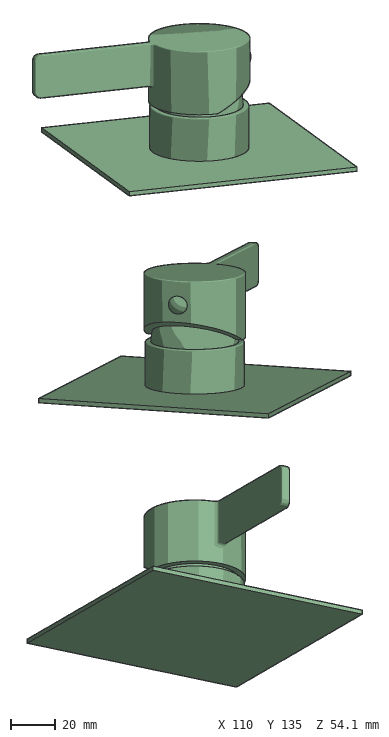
import cadquery as cq
import math

OVERALL_LENGTH = 135

PLATE_SIDE = 110.0
PLATE_THICKNESS = 2.0

COLLAR_RADIUS = 22.4
COLLAR_TOP = 22.0
COLLAR_EDGE_FILLET = 0.5

BALL_RADIUS = 19.8

CAP_RADIUS = 23.0
CAP_BOTTOM = 24.0
CAP_RIM = 53.6
CROWN_TOP = 54.1
TILT_ANGLE = 25.0

LEVER_REACH = OVERALL_LENGTH - PLATE_SIDE / 2
LEVER_THICKNESS = 4.0
LEVER_HEIGHT = 20.0
LEVER_BOTTOM = CAP_RIM - LEVER_HEIGHT
LEVER_CORNER_RADIUS = 3.0
LEVER_ROOT_FILLET = 2.2
ROOT_END = -CAP_RADIUS - 2 * LEVER_ROOT_FILLET

EDGE_FILLET = 0.5

BUTTON_RADIUS = 6.0
BUTTON_PROJECTION = 1.6
BUTTON_HEIGHT = 42.7

CUT_MARGIN = 2.7
TRIM_HEIGHT = 10.8


def make_ball():
    """Ball centred on the collar top; its upper half is the neck and sits in a matching socket."""
    return cq.Workplane("XY").sphere(BALL_RADIUS).translate((0, 0, COLLAR_TOP))


def make_relief():
    """Wedge below the sloping underside at the back of the cap."""
    reach = CAP_RADIUS + CUT_MARGIN
    rise = reach * math.tan(math.radians(TILT_ANGLE))
    return (
        cq.Workplane("YZ")
        .polyline([(0, CAP_BOTTOM), (reach, CAP_BOTTOM), (reach, CAP_BOTTOM + rise)])
        .close()
        .extrude(reach, both=True)
    )


def make_crown():
    """Shallow spherical dome filling the top of the cap."""
    half_width = CAP_RADIUS - EDGE_FILLET
    rise = CROWN_TOP - CAP_RIM
    sphere_radius = (half_width**2 + rise**2) / (2 * rise)
    return (
        cq.Workplane("XZ")
        .moveTo(0, CAP_RIM)
        .lineTo(half_width, CAP_RIM)
        .radiusArc((0, CROWN_TOP), -sphere_radius)
        .close()
        .revolve(360, (0, 0, 0), (0, 1, 0))
    )


def make_blade(start_y, end_y, top):
    """Plain lever bar between two Y positions, from the lever underside up to the given height."""
    return (
        cq.Workplane("XY")
        .workplane(offset=LEVER_BOTTOM)
        .center(0, (start_y + end_y) / 2)
        .rect(LEVER_THICKNESS, abs(end_y - start_y))
        .extrude(top - LEVER_BOTTOM)
    )


def make_cap_with_lever_root():
    """Cap and the first stretch of the lever, blended together and rounded along the rim.

    Both start taller than the rim so that the root fillet runs through, then are trimmed flat.
    """
    tall_top = CAP_RIM + TRIM_HEIGHT
    cap = cq.Workplane("XY").workplane(offset=CAP_BOTTOM).circle(CAP_RADIUS).extrude(tall_top - CAP_BOTTOM)
    stub = make_blade(0, ROOT_END, tall_top).edges("|Y and <Z").fillet(EDGE_FILLET)
    body = fillet_lever_root(cap.union(stub))
    body = body.copyWorkplane(cq.Workplane("XY")).workplane(offset=CAP_RIM).split(keepBottom=True)
    return body.faces(">Z").edges("not |X").fillet(EDGE_FILLET)


def make_lever():
    """Lever from the root to the tip, flush with the cap rim."""
    blade = make_blade(ROOT_END, -LEVER_REACH, CAP_RIM)
    blade = blade.faces("<Y").edges("|X").fillet(LEVER_CORNER_RADIUS)
    return blade.faces("|X").edges("not >Y").fillet(EDGE_FILLET)


def make_button():
    """Sphere sunk into the cap so that only a shallow dome stands out."""
    centre_y = CAP_RADIUS + BUTTON_PROJECTION - BUTTON_RADIUS
    return cq.Workplane("XY").sphere(BUTTON_RADIUS).translate((0, centre_y, BUTTON_HEIGHT))


def fillet_lever_root(body):
    """Round the lever sides and underside into the cap wall."""
    margin = LEVER_ROOT_FILLET
    root = cq.selectors.BoxSelector(
        (-LEVER_THICKNESS, -CAP_RADIUS - margin, LEVER_BOTTOM - margin),
        (LEVER_THICKNESS, -CAP_RADIUS + margin, CAP_RIM + TRIM_HEIGHT - margin),
    )
    return body.edges(root).fillet(LEVER_ROOT_FILLET)


def make_base():
    """Plate, collar and ball neck."""
    plate = cq.Workplane("XY").box(PLATE_SIDE, PLATE_SIDE, PLATE_THICKNESS, centered=(True, True, False))
    collar = cq.Workplane("XY").circle(COLLAR_RADIUS).extrude(COLLAR_TOP)
    collar = collar.faces(">Z").edges().fillet(COLLAR_EDGE_FILLET)
    return plate.union(collar).union(make_ball())


def make_handle():
    """Cap with its lever, crown and button, relieved at the back and hollowed for the ball."""
    handle = make_cap_with_lever_root().union(make_lever())
    handle = handle.union(make_crown()).union(make_button())
    return handle.cut(make_relief()).cut(make_ball())


base = make_base()
handle = make_handle()

result = cq.Compound.makeCompound([base.solids().val(), handle.solids().val()])